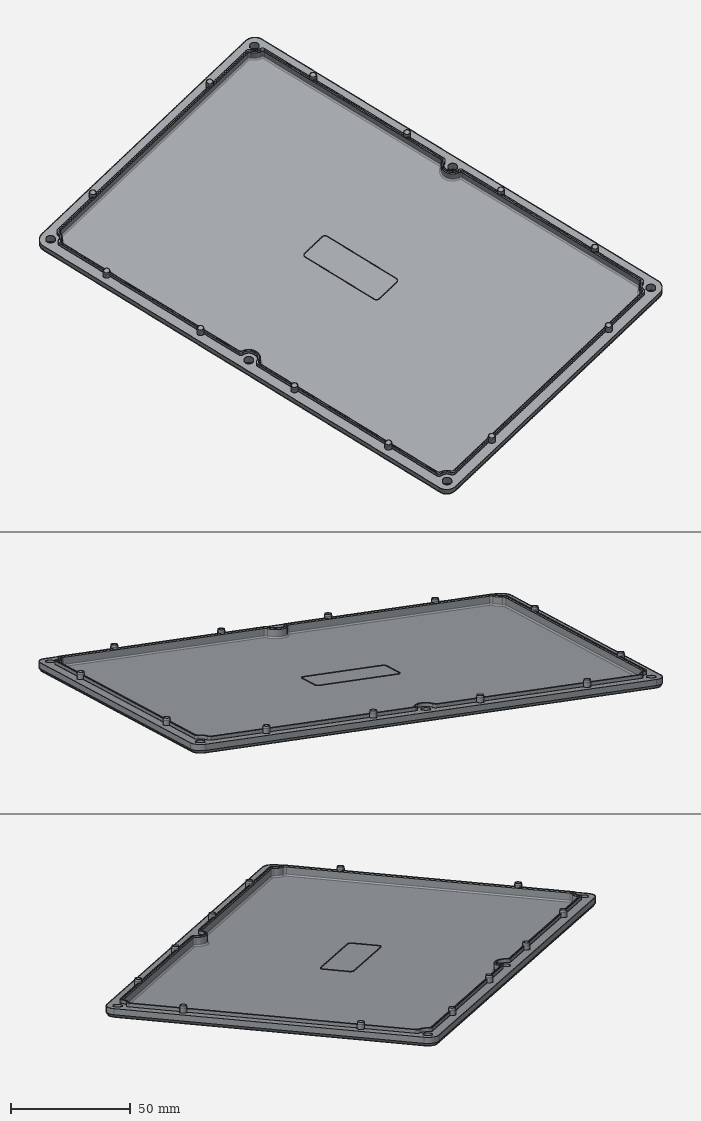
import cadquery as cq

LENGTH = 222.0
WIDTH = 146.0
HEIGHT = 7.0
PLATE_TOP = 4.0
CORNER_RADIUS = 4.9
BOTTOM_CHAMFER_HEIGHT = 1.3
BOTTOM_CHAMFER_WIDTH = 0.9

RIM_TOP = 5.5
RIM_INSET = 4.5
RIM_WIDTH = 1.0
RIM_CHAMFER = 0.5
FLOOR_TOP = 1.3
FLOOR_FILLET = 0.7

HOLE_DIAMETER = 4.0
HOLE_INSET_X = 4.7
HOLE_INSET_Y = 4.9
DETOUR_RADIUS = 3.8
DETOUR_BLEND_RADIUS = 1.3

PEG_DIAMETER = 3.0
PEG_INSET = 4.0
PEG_TIP_HEIGHT = 0.9
PEG_TIP_TAPER = 0.2
PEG_PITCH = 50.5
PEGS_PER_LONG_SIDE = 4
END_PEG_SPACING = 78.1

LABEL_LENGTH = 40.0
LABEL_WIDTH = 14.7
LABEL_RADIUS = 1.5
LABEL_DEPTH = 0.2

HOLE_X = LENGTH / 2 - HOLE_INSET_X
HOLE_Y = WIDTH / 2 - HOLE_INSET_Y
HOLE_POINTS = [(x, y) for x in (-HOLE_X, 0, HOLE_X) for y in (-HOLE_Y, HOLE_Y)]


def peg_points():
    """Peg centres: an even row on each long side and a pair on each end."""
    x_end = LENGTH / 2 - PEG_INSET
    y_side = WIDTH / 2 - PEG_INSET
    y_end = END_PEG_SPACING / 2
    row_start = -PEG_PITCH * (PEGS_PER_LONG_SIDE - 1) / 2
    row = [row_start + i * PEG_PITCH for i in range(PEGS_PER_LONG_SIDE)]
    side_pegs = [(x, y) for x in row for y in (-y_side, y_side)]
    end_pegs = [(x, y) for x in (-x_end, x_end) for y in (-y_end, y_end)]
    return side_pegs + end_pegs


def detoured_block(inset, detour_radius):
    """Block from floor to rim top, inset from the plate edge and bitten away around every screw hole."""
    height = RIM_TOP - FLOOR_TOP
    base = cq.Workplane("XY").workplane(offset=FLOOR_TOP)
    block = base.rect(LENGTH - 2 * inset, WIDTH - 2 * inset).extrude(height)
    bites = base.pushPoints(HOLE_POINTS).circle(detour_radius).extrude(height)
    return block.cut(bites).edges("|Z").fillet(DETOUR_BLEND_RADIUS)


def base_plate():
    plate = cq.Workplane("XY").rect(LENGTH, WIDTH).extrude(PLATE_TOP)
    plate = plate.edges("|Z").fillet(CORNER_RADIUS)
    return plate.faces("<Z").chamfer(BOTTOM_CHAMFER_HEIGHT, BOTTOM_CHAMFER_WIDTH)


def floor_pocket():
    """Space inside the rim, rounded where its walls meet the floor."""
    pocket = detoured_block(RIM_INSET + RIM_WIDTH, DETOUR_RADIUS + RIM_WIDTH)
    return pocket.faces("<Z").edges().fillet(FLOOR_FILLET)


def pegs():
    """Posts with slightly tapered tips."""
    base = cq.Workplane("XY").workplane(offset=FLOOR_TOP)
    posts = base.pushPoints(peg_points()).circle(PEG_DIAMETER / 2).extrude(HEIGHT - FLOOR_TOP)
    return posts.faces(">Z").chamfer(PEG_TIP_HEIGHT, PEG_TIP_TAPER)


def label_recess():
    base = cq.Workplane("XY").workplane(offset=FLOOR_TOP - LABEL_DEPTH)
    recess = base.rect(LABEL_LENGTH, LABEL_WIDTH).extrude(LABEL_DEPTH)
    return recess.edges("|Z").fillet(LABEL_RADIUS)


def chamfer_rim(tray):
    """Bevel the inner top edge of the rim."""
    rim_top = tray.faces(">Z").val()
    inner_edges = rim_top.innerWires()[0].Edges()
    return tray.newObject(inner_edges).chamfer(RIM_CHAMFER)


def screw_holes():
    return cq.Workplane("XY").pushPoints(HOLE_POINTS).circle(HOLE_DIAMETER / 2).extrude(HEIGHT)


rim = detoured_block(RIM_INSET, DETOUR_RADIUS)
tray = chamfer_rim(base_plate().union(rim).cut(floor_pocket()))
result = tray.cut(label_recess()).union(pegs()).cut(screw_holes())